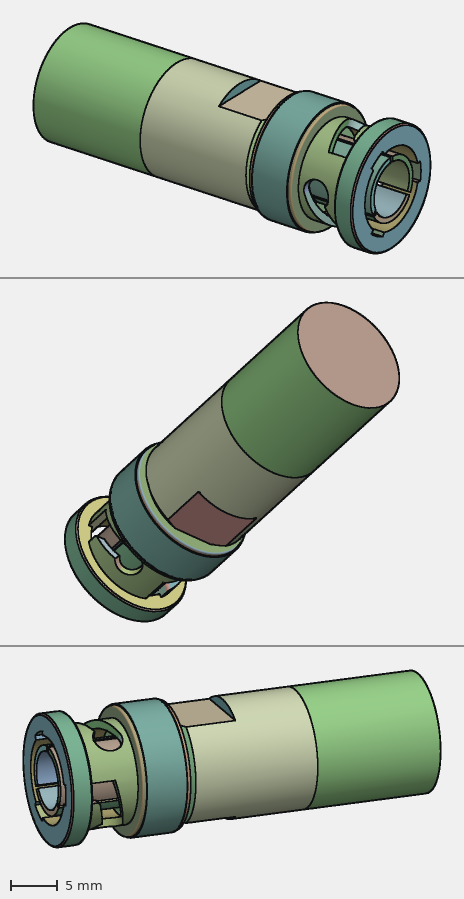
import cadquery as cq
import math


BOOT_END = 14.15
FLAT_START = 22.5
CHAMFER_START = 28.15
NUT_START = 28.9
GRIP_START = 29.35
GRIP_END = 34.0
NECK_START = 34.45
FLANGE_START = 40.2
LENGTH = 42.6

BODY_RADIUS = 6.65
FLAT_HEIGHT = 5.45
SLEEVE_RADIUS = 3.85
SLEEVE_BORE_RADIUS = 3.2
SLIT_WIDTH = 0.35

GRIP_RADIUS = 7.25
BAND_RADIUS = 7.1
BAND_ROUND = 0.15
FLANGE_CHAMFER = 0.15
NECK_DIAMETER = 11.55
NECK_RADIUS = NECK_DIAMETER / 2
NUT_BORE_RADIUS = 4.85
KEYWAY_RADIUS = 5.32

LUG_COUNT = 3
LUG_PITCH = 360.0 / LUG_COUNT
FIRST_SEAT_ANGLE = 60.0
SEAT_TO_ENTRY_ANGLE = 60.0
FIRST_SLIT_ANGLE = 90.0
SEAT_X = 36.8
SEAT_RADIUS = 1.6
SLOT_WIDTH = 2.3
RAMP_PITCH = 9.63
RAMP_CORNER_RADIUS = 0.43

RAMP_ADVANCE = RAMP_PITCH / 360
RAMP_TILT = math.atan(RAMP_PITCH / (2 * math.pi * NECK_RADIUS))
RAMP_AXIAL_WIDTH = SLOT_WIDTH / math.cos(RAMP_TILT)
RAMP_ANGULAR_WIDTH = RAMP_AXIAL_WIDTH / RAMP_ADVANCE
RAMP_REAR_X = SEAT_X - SEAT_RADIUS / math.cos(RAMP_TILT)
ENTRY_HALF_ANGLE = math.degrees(math.asin(SLOT_WIDTH / 2 / NECK_RADIUS))
RAMP_END_ANGLE = SEAT_TO_ENTRY_ANGLE + ENTRY_HALF_ANGLE
RAMP_START_ANGLE = math.degrees(SEAT_RADIUS * math.sin(RAMP_TILT) / NECK_RADIUS)
RAMP_CORNER_ANGLE = SEAT_TO_ENTRY_ANGLE - ENTRY_HALF_ANGLE
RAMP_CORNER_X = RAMP_REAR_X + RAMP_AXIAL_WIDTH + RAMP_CORNER_ANGLE * RAMP_ADVANCE
ENTRY_START = RAMP_REAR_X + RAMP_END_ANGLE * RAMP_ADVANCE

CUT_MARGIN = 0.35
CUT_INNER_RADIUS = NUT_BORE_RADIUS - CUT_MARGIN
CUT_OUTER_RADIUS = NECK_RADIUS + CUT_MARGIN


def cylinder(start, end, radius):
    return cq.Workplane("YZ", origin=(start, 0, 0)).circle(radius).extrude(end - start)


def turned(shape, angle):
    return shape.rotate((0, 0, 0), (1, 0, 0), angle)


def polar(radius, angle):
    return (radius * math.cos(math.radians(angle)), radius * math.sin(math.radians(angle)))


def sector(start_x, inner_radius, outer_radius, first_angle, last_angle):
    """Closed outline of an annular sector about the axis, ready to be extruded along X."""
    middle = (first_angle + last_angle) / 2
    return (
        cq.Workplane("YZ", origin=(start_x, 0, 0))
        .moveTo(*polar(inner_radius, first_angle))
        .lineTo(*polar(outer_radius, first_angle))
        .threePointArc(polar(outer_radius, middle), polar(outer_radius, last_angle))
        .lineTo(*polar(inner_radius, last_angle))
        .threePointArc(polar(inner_radius, middle), polar(inner_radius, first_angle))
        .close()
    )


def make_cable_boot():
    return cylinder(0, BOOT_END, BODY_RADIUS)


def make_wrench_section():
    """Chamfered barrel with two wrench flats, at +Z and -Z, running to its front end."""
    barrel = cylinder(BOOT_END, NUT_START, BODY_RADIUS).faces(">X").chamfer(NUT_START - CHAMFER_START)
    flat_length = NUT_START - FLAT_START
    flats = cq.Workplane("XY").box(flat_length, 2 * BODY_RADIUS, 2 * FLAT_HEIGHT)
    flats = flats.translate((FLAT_START + flat_length / 2, 0, 0))
    return barrel.intersect(cylinder(BOOT_END, FLAT_START, BODY_RADIUS).union(flats))


def make_contact_sleeve():
    """Hollow sleeve split into spring fingers by lengthwise slits."""
    sleeve = cylinder(NECK_START, LENGTH, SLEEVE_RADIUS).cut(cylinder(NECK_START, LENGTH, SLEEVE_BORE_RADIUS))
    length = LENGTH - NECK_START
    slit = cq.Workplane("XY").box(length, SLEEVE_RADIUS, SLIT_WIDTH)
    slit = slit.translate((NECK_START + length / 2, SLEEVE_RADIUS, 0))
    for index in range(LUG_COUNT):
        sleeve = sleeve.cut(turned(slit, FIRST_SLIT_ANGLE + index * LUG_PITCH))
    return sleeve


def make_clamp_body():
    shank = cylinder(NUT_START, NECK_START, NUT_BORE_RADIUS)
    return make_wrench_section().union(shank).union(make_contact_sleeve())


def make_nut_blank():
    rear_band = cylinder(NUT_START, GRIP_START, BAND_RADIUS).faces("<X").edges().fillet(BAND_ROUND)
    front_band = cylinder(GRIP_END, NECK_START, BAND_RADIUS).faces(">X").edges().fillet(BAND_ROUND)
    grip = cylinder(GRIP_START, GRIP_END, GRIP_RADIUS)
    neck = cylinder(NECK_START, FLANGE_START, NECK_RADIUS)
    flange = cylinder(FLANGE_START, LENGTH, GRIP_RADIUS).faces("<X or >X").chamfer(FLANGE_CHAMFER)
    blank = grip.union(rear_band).union(front_band).union(neck).union(flange)
    return blank.cut(cylinder(NUT_START, LENGTH, NUT_BORE_RADIUS))


def make_seat_cutter():
    """Lug seat on the +Y side: constant along X, its width growing with distance from the axis."""
    spread = math.tan(SEAT_RADIUS / NECK_RADIUS)
    return (
        cq.Workplane("XZ", origin=(SEAT_X, CUT_INNER_RADIUS, 0))
        .ellipse(SEAT_RADIUS, CUT_INNER_RADIUS * spread)
        .workplane(offset=CUT_INNER_RADIUS - CUT_OUTER_RADIUS)
        .ellipse(SEAT_RADIUS, CUT_OUTER_RADIUS * spread)
        .loft(ruled=True)
    )


def make_ramp_cutter():
    """Helical band: a wide sector twisted along X, with its ends trimmed by a plain sector."""
    length = RAMP_AXIAL_WIDTH + RAMP_END_ANGLE * RAMP_ADVANCE
    band = sector(
        RAMP_REAR_X, CUT_INNER_RADIUS - CUT_MARGIN, CUT_OUTER_RADIUS + CUT_MARGIN, -RAMP_ANGULAR_WIDTH, 0
    ).twistExtrude(length, length / RAMP_ADVANCE)
    trim = sector(RAMP_REAR_X, CUT_INNER_RADIUS, CUT_OUTER_RADIUS, RAMP_START_ANGLE, RAMP_END_ANGLE)
    return band.intersect(trim.extrude(length))


def make_entry_cutter(end, outer_radius):
    """Straight channel from the end of the ramp towards the front of the nut."""
    length = end - ENTRY_START
    channel = cq.Workplane("XY").box(length, outer_radius, SLOT_WIDTH)
    channel = channel.translate((ENTRY_START + length / 2, outer_radius / 2, 0))
    channel = channel.intersect(cylinder(ENTRY_START, end, outer_radius))
    return turned(channel, SEAT_TO_ENTRY_ANGLE)


def round_ramp_corner(nut, seat_angle):
    """Round the convex corner where the front wall of the ramp meets the entry."""
    mean_radius = (NECK_RADIUS + NUT_BORE_RADIUS) / 2
    corner = (RAMP_CORNER_X, *polar(mean_radius, seat_angle + RAMP_CORNER_ANGLE))
    return nut.edges(cq.selectors.NearestToPointSelector(corner)).fillet(RAMP_CORNER_RADIUS)


def make_coupling_nut():
    nut = make_nut_blank()
    cutters = [
        make_seat_cutter(),
        make_ramp_cutter(),
        make_entry_cutter(FLANGE_START, CUT_OUTER_RADIUS),
        make_entry_cutter(LENGTH, KEYWAY_RADIUS),
    ]
    for index in range(LUG_COUNT):
        seat_angle = FIRST_SEAT_ANGLE + index * LUG_PITCH
        for cutter in cutters:
            nut = nut.cut(turned(cutter, seat_angle))
        nut = round_ramp_corner(nut, seat_angle)
    return nut


cable_boot = make_cable_boot()
clamp_body = make_clamp_body()
coupling_nut = make_coupling_nut()
result = cq.Compound.makeCompound([cable_boot.val(), clamp_body.val(), coupling_nut.val()])